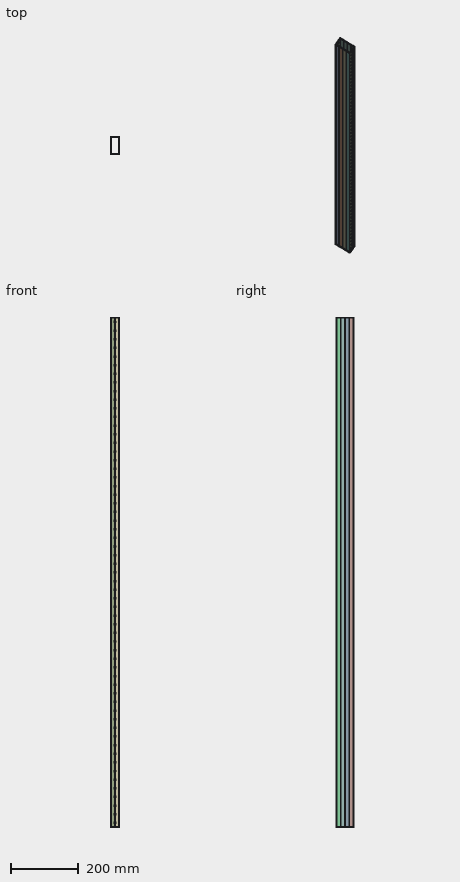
import cadquery as cq

WIDTH = 25.4
DEPTH = 50.8
LENGTH = 1498.6
WALL = 1.4

HOLE_DIAMETER = 4.2
HOLE_PITCH = 25.4
HOLE_COUNT = round(LENGTH / HOLE_PITCH)
FIRST_HOLE_HEIGHT = (LENGTH - (HOLE_COUNT - 1) * HOLE_PITCH) / 2

GROOVE_WIDTH = 0.2
GROOVE_DEPTH = GROOVE_WIDTH / 2
GROOVE_SPACING = DEPTH / 4


def tube():
    """Rectangular tube standing on Z = 0."""
    outline = cq.Workplane("XY").rect(WIDTH, DEPTH)
    return outline.rect(WIDTH - 2 * WALL, DEPTH - 2 * WALL).extrude(LENGTH)


def hole_row():
    """Evenly spaced drills along the length, passing through both narrow walls."""
    centers = [(0, FIRST_HOLE_HEIGHT + i * HOLE_PITCH) for i in range(HOLE_COUNT)]
    drills = cq.Workplane("XZ", origin=(0, DEPTH / 2, 0)).pushPoints(centers)
    return drills.circle(HOLE_DIAMETER / 2).extrude(DEPTH)


def wide_face_groove(side, y):
    """Full-length V-groove on a wide face at position y; side is -1 or +1 along X."""
    face = side * WIDTH / 2
    tip = face - side * GROOVE_DEPTH
    corners = [(face, y - GROOVE_WIDTH / 2), (face, y + GROOVE_WIDTH / 2), (tip, y)]
    return cq.Workplane("XY").polyline(corners).close().extrude(LENGTH)


def narrow_face_groove(side):
    """Full-length V-groove along the middle of a narrow face; side is -1 or +1 along Y."""
    face = side * DEPTH / 2
    tip = face - side * GROOVE_DEPTH
    corners = [(-GROOVE_WIDTH / 2, face), (GROOVE_WIDTH / 2, face), (0, tip)]
    return cq.Workplane("XY").polyline(corners).close().extrude(LENGTH)


result = tube().cut(hole_row())
for side in (-1, 1):
    result = result.cut(narrow_face_groove(side))
    for step in (-1, 0, 1):
        result = result.cut(wide_face_groove(side, step * GROOVE_SPACING))